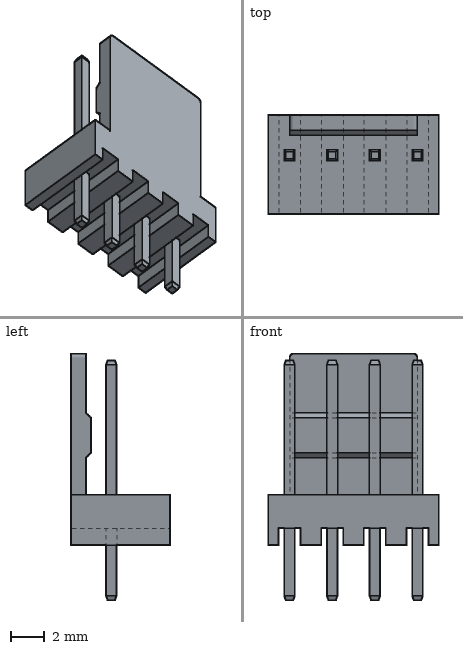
import cadquery as cq

pin_count = 4
pitch = 2.54
pin_width = 0.64
pin_tip_width = 0.44
pin_tip_length = 0.275
pin_above_base = 8.0
pin_below_base = 3.3

base_length = pin_count * pitch
base_depth = 5.9
base_height = 3.0
base_back = 2.4
base_front = base_back - base_depth

slot_width = 1.3
slot_height = 1.0

tab_length = (pin_count - 1) * pitch
tab_height = 8.4
tab_thickness = 0.9
tab_corner_radius = 0.25

rib_projection = 0.3
rib_bevel_height = 0.3
rib_bottom = 2.2
rib_top = 4.87

pin_positions = [(i - (pin_count - 1) / 2) * pitch for i in range(pin_count)]


def make_base():
    """Base block with the slots running through it from front to back."""
    base_middle = (base_front + base_back) / 2
    base = cq.Workplane("XY").center(0, base_middle).rect(base_length, base_depth).extrude(base_height)
    for x in pin_positions:
        slot = cq.Workplane("XY").center(x, base_middle).rect(slot_width, base_depth).extrude(slot_height)
        base = base.cut(slot)
    return base


def make_tab():
    """Tab with a bevelled latch rib and rounded upper corners."""
    front = base_back - tab_thickness
    rib_front = front - rib_projection
    profile = [
        (base_back, 0),
        (base_back, tab_height),
        (front, tab_height),
        (front, rib_top),
        (rib_front, rib_top - rib_bevel_height),
        (rib_front, rib_bottom + rib_bevel_height),
        (front, rib_bottom),
        (front, 0),
    ]
    tab = cq.Workplane("YZ").polyline(profile).close().extrude(tab_length / 2, both=True)
    upper_corners = tab.faces(">Z").edges("|Y")
    return upper_corners.fillet(tab_corner_radius).translate((0, 0, base_height))


def make_tip(z, direction):
    """Tapered pin end starting at height z and pointing up (1) or down (-1)."""
    return (
        cq.Workplane("XY", origin=(0, 0, z))
        .rect(pin_width, pin_width)
        .workplane(offset=direction * pin_tip_length)
        .rect(pin_tip_width, pin_tip_width)
        .loft()
    )


def make_pin():
    """Square post with a tapered tip at each end."""
    shank_bottom = pin_tip_length - pin_below_base
    shank_top = base_height + pin_above_base - pin_tip_length
    shank = (
        cq.Workplane("XY", origin=(0, 0, shank_bottom))
        .rect(pin_width, pin_width)
        .extrude(shank_top - shank_bottom)
    )
    return shank.union(make_tip(shank_top, 1)).union(make_tip(shank_bottom, -1))


result = make_base().union(make_tab())
pin = make_pin()
for x in pin_positions:
    result = result.union(pin.translate((x, 0, 0)))